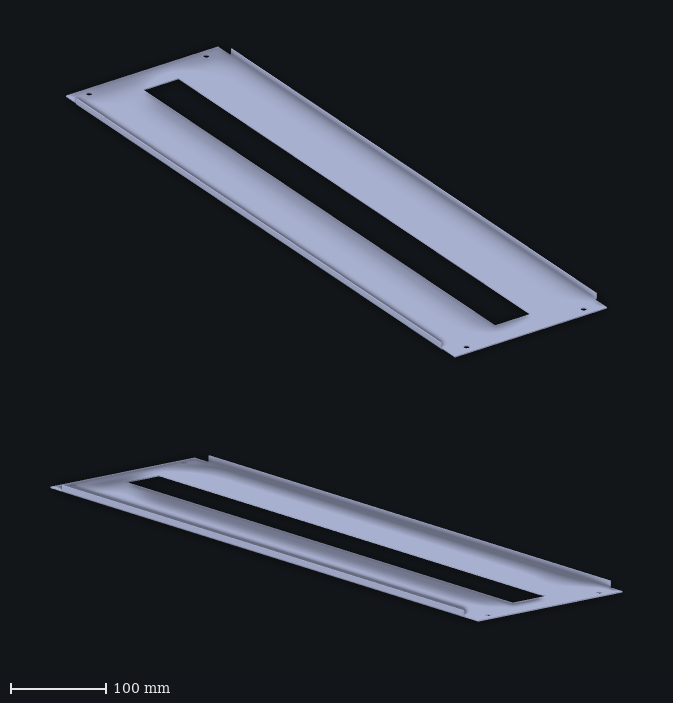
import cadquery as cq

length = 717.0
width = 199.0
height = 8.0

sheet_thickness = 1.5
inner_bend_radius = 1.0
outer_bend_radius = inner_bend_radius + sheet_thickness

flange_end_gap = 22.0
flange_length = length - 2 * flange_end_gap
plate_width = width - 2 * outer_bend_radius

window_length = 648.0
window_width = 45.0
window_offset_x = 1.0

hole_diameter = 6.5
hole_spacing_x = 695.5
hole_spacing_y = 150.0


def make_plate():
    """Flat sheet lying on Z = 0."""
    return cq.Workplane("XY").box(length, plate_width, sheet_thickness, centered=(True, True, False))


def make_flange():
    """Upturned flange with its rounded bend along the +Y edge of the plate."""
    bend_start = plate_width / 2
    outer_face = width / 2
    inner_face = outer_face - sheet_thickness
    return (
        cq.Workplane("YZ")
        .moveTo(bend_start, 0)
        .radiusArc((outer_face, outer_bend_radius), -outer_bend_radius)
        .lineTo(outer_face, height)
        .lineTo(inner_face, height)
        .lineTo(inner_face, outer_bend_radius)
        .radiusArc((bend_start, sheet_thickness), inner_bend_radius)
        .close()
        .extrude(flange_length / 2, both=True)
    )


def make_window():
    """Cutter for the central window."""
    return (
        cq.Workplane("XY")
        .center(window_offset_x, 0)
        .rect(window_length, window_width)
        .extrude(sheet_thickness)
    )


def make_holes():
    """Cutters for the four corner holes."""
    return (
        cq.Workplane("XY")
        .rect(hole_spacing_x, hole_spacing_y, forConstruction=True)
        .vertices()
        .circle(hole_diameter / 2)
        .extrude(sheet_thickness)
    )


flange = make_flange()
panel = make_plate().union(flange).union(flange.mirror("XZ"))
result = panel.cut(make_window()).cut(make_holes())